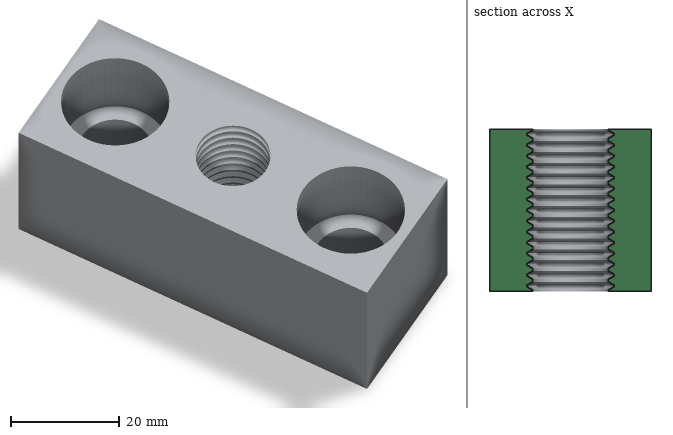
import cadquery as cq
import math

length = 74.0
width = 30.0
height = 30.0
top = height / 2

hole_diameter = 13.85

bolt_offset = 25.0
counterbore_diameter = 20.0
counterbore_depth = height / 2

groove_count = 15
thread_pitch = height / groove_count
crest_width = thread_pitch / 4
root_width = thread_pitch / 8
groove_mouth = thread_pitch - crest_width
flank_angle = math.radians(30)
groove_depth = (groove_mouth - root_width) / 2 / math.tan(flank_angle)


def add_bolt_holes(body):
    """Drill the two through holes and their counterbores from the top face."""
    return (
        body.faces(">Z")
        .workplane(origin=(0, 0, top))
        .pushPoints([(-bolt_offset, 0), (bolt_offset, 0)])
        .cboreHole(hole_diameter, counterbore_diameter, counterbore_depth)
    )


def threaded_hole_cutter():
    """Revolve the grooved half profile of the threaded hole around the Z axis."""
    crest_radius = hole_diameter / 2
    root_radius = crest_radius + groove_depth
    profile = [(0, -top), (crest_radius, -top)]
    for index in range(groove_count):
        middle = -top + (index + 0.5) * thread_pitch
        profile += [
            (crest_radius, middle - groove_mouth / 2),
            (root_radius, middle - root_width / 2),
            (root_radius, middle + root_width / 2),
            (crest_radius, middle + groove_mouth / 2),
        ]
    profile += [(crest_radius, top), (0, top)]
    return cq.Workplane("XZ").polyline(profile).close().revolve(360, (0, 0), (0, 1))


block = cq.Workplane("XY").box(length, width, height)
result = add_bolt_holes(block).cut(threaded_hole_cutter())